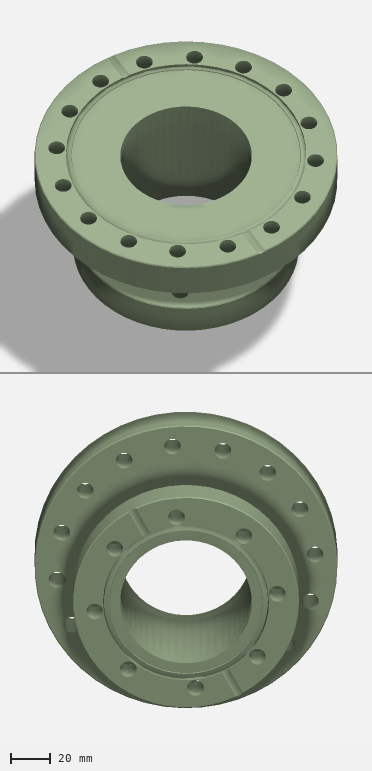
import cadquery as cq
import math


TOTAL_HEIGHT = 70.0

TUBE_DIAMETER = 70.0
BORE_DIAMETER = 66.0

FLANGE_DIAMETER = 152.0
FLANGE_THICKNESS = 20.0
FLANGE_RECESS_DIAMETER = 120.6
FLANGE_SOCKET_DEPTH = 10.0
FLANGE_BOLT_CIRCLE = 130.2
FLANGE_BOLT_COUNT = 16
FLANGE_GROOVE_ANGLE = 0.0

RING_DIAMETER = 113.5
RING_THICKNESS = 17.5
RING_NECK_BORE = 77.0
RING_SEAT_BORE = 83.2
RING_BOLT_CIRCLE = 92.1
RING_BOLT_COUNT = 8
RING_FIRST_BOLT_ANGLE = 11.25

COLLAR_DIAMETER = 82.4
COLLAR_TOP = 8.0
COLLAR_SOCKET_DEPTH = 4.0

BOLT_HOLE_DIAMETER = 8.4
RIM_CHAMFER = 0.5
GROOVE_WIDTH = 4.0
GROOVE_DEPTH = 0.7

KNIFE_TIP_DEPTH = 0.7
KNIFE_FLOOR_DEPTH = 1.2
KNIFE_WIDTH = 2.7
KNIFE_SLOPE = math.tan(math.radians(20.0))
KNIFE_ROOT_DEPTH = KNIFE_TIP_DEPTH + KNIFE_WIDTH * KNIFE_SLOPE

FLANGE_BOTTOM = TOTAL_HEIGHT - FLANGE_THICKNESS
TUBE_TOP = FLANGE_BOTTOM + FLANGE_SOCKET_DEPTH
TUBE_BOTTOM = COLLAR_TOP - COLLAR_SOCKET_DEPTH

FLANGE_FIRST_BOLT_ANGLE = FLANGE_GROOVE_ANGLE + 180.0 / FLANGE_BOLT_COUNT
RING_GROOVE_ANGLE = RING_FIRST_BOLT_ANGLE + 180.0 / RING_BOLT_COUNT


def cylinder(diameter, bottom, top):
    return cq.Workplane("XY").workplane(offset=bottom).circle(diameter / 2).extrude(top - bottom)


def disc(diameter, bottom, top):
    """Flange blank with both rims chamfered."""
    return cylinder(diameter, bottom, top).edges().chamfer(RIM_CHAMFER)


def bolt_holes(circle_diameter, count, first_angle, bottom, top):
    return (
        cq.Workplane("XY")
        .workplane(offset=bottom)
        .polarArray(circle_diameter / 2, first_angle, 360, count)
        .circle(BOLT_HOLE_DIAMETER / 2)
        .extrude(top - bottom)
    )


def leak_grooves(length, angle, face_height, outward):
    """Round-bottomed groove across a whole sealing face; outward is +1 or -1 along Z."""
    radius = (GROOVE_WIDTH**2 / 4 + GROOVE_DEPTH**2) / (2 * GROOVE_DEPTH)
    axis_height = face_height + outward * (radius - GROOVE_DEPTH)
    return (
        cq.Workplane("YZ")
        .center(0, axis_height)
        .circle(radius)
        .extrude(length / 2, both=True)
        .rotate((0, 0, 0), (0, 0, 1), angle)
    )


def knife_recess(root_diameter, face_height, outward):
    """Space in front of a knife edge: cone outside the tip, steep step to a flat floor inside it."""
    root_radius = root_diameter / 2
    tip_radius = root_radius - KNIFE_WIDTH
    root_height = face_height - outward * KNIFE_ROOT_DEPTH
    tip_height = face_height - outward * KNIFE_TIP_DEPTH
    floor_height = face_height - outward * KNIFE_FLOOR_DEPTH
    floor_radius = tip_radius - (KNIFE_FLOOR_DEPTH - KNIFE_TIP_DEPTH) * KNIFE_SLOPE
    profile = [
        (0, face_height),
        (root_radius, face_height),
        (root_radius, root_height),
        (tip_radius, tip_height),
        (floor_radius, floor_height),
        (0, floor_height),
    ]
    return cq.Workplane("XZ").polyline(profile).close().revolve(360, (0, 0, 0), (0, 1, 0))


def make_flange():
    body = disc(FLANGE_DIAMETER, FLANGE_BOTTOM, TOTAL_HEIGHT)
    body = body.cut(leak_grooves(FLANGE_DIAMETER, FLANGE_GROOVE_ANGLE, TOTAL_HEIGHT, 1))
    body = body.cut(knife_recess(FLANGE_RECESS_DIAMETER, TOTAL_HEIGHT, 1))
    body = body.cut(cylinder(BORE_DIAMETER, FLANGE_BOTTOM, TOTAL_HEIGHT))
    body = body.cut(cylinder(TUBE_DIAMETER, FLANGE_BOTTOM, TUBE_TOP))
    return body.cut(
        bolt_holes(
            FLANGE_BOLT_CIRCLE,
            FLANGE_BOLT_COUNT,
            FLANGE_FIRST_BOLT_ANGLE,
            FLANGE_BOTTOM,
            TOTAL_HEIGHT,
        )
    )


def make_tube():
    return cylinder(TUBE_DIAMETER, TUBE_BOTTOM, TUBE_TOP).cut(cylinder(BORE_DIAMETER, TUBE_BOTTOM, TUBE_TOP))


def make_ring():
    body = disc(RING_DIAMETER, 0, RING_THICKNESS)
    body = body.cut(leak_grooves(RING_DIAMETER, RING_GROOVE_ANGLE, 0, -1))
    body = body.cut(cylinder(RING_NECK_BORE, 0, RING_THICKNESS))
    body = body.cut(cylinder(RING_SEAT_BORE, 0, COLLAR_TOP))
    return body.cut(bolt_holes(RING_BOLT_CIRCLE, RING_BOLT_COUNT, RING_FIRST_BOLT_ANGLE, 0, RING_THICKNESS))


def make_collar():
    body = cylinder(COLLAR_DIAMETER, 0, COLLAR_TOP)
    body = body.cut(knife_recess(COLLAR_DIAMETER, 0, -1))
    body = body.cut(cylinder(BORE_DIAMETER, 0, COLLAR_TOP))
    return body.cut(cylinder(TUBE_DIAMETER, TUBE_BOTTOM, COLLAR_TOP))


flange = make_flange()
tube = make_tube()
ring = make_ring()
collar = make_collar()

result = cq.Compound.makeCompound([flange.val(), tube.val(), ring.val(), collar.val()])